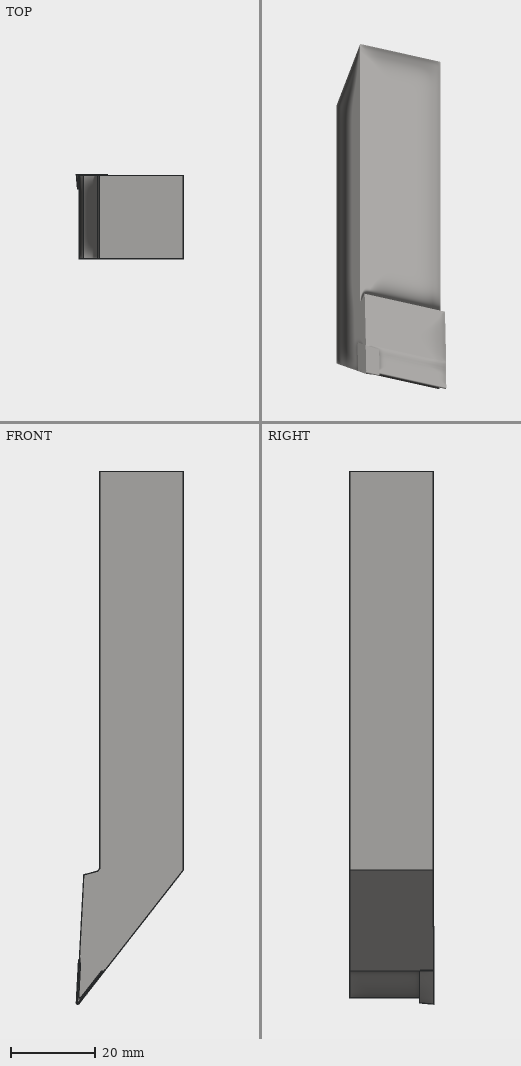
import cadquery as cq
import math


tool_width = 25.4
tool_height = 126.4
tool_depth = 20.0

flank_lean = 3.0
corner_angle = 35.0
back_lean = flank_lean + corner_angle
nose_radius = 0.4

insert_side = 11.2
insert_thickness = 3.4
relief_angle = 5.0
insert_rise = 0.1

holder_depth = tool_depth - insert_rise
shank_width = holder_depth
flank_setback = 0.19
shoulder_height = 30.7
shoulder_slope = 15.0
shoulder_root_bevel = 0.5
clearance_depth = 0.57
clearance_top = 11.1
clearance_run_out = 8.5
back_step_height = 7.8
tip_radius = 0.3


def direction(lean):
    """Unit XZ vector leaning from vertical toward +X by the given degrees."""
    return cq.Vector(math.sin(math.radians(lean)), math.cos(math.radians(lean)))


flank_dir = direction(flank_lean)
back_dir = direction(back_lean)
bisector = direction(flank_lean + corner_angle / 2)
half_corner_sine = math.sin(math.radians(corner_angle / 2))

nose_offset = bisector * (nose_radius / half_corner_sine)
corner = cq.Vector(nose_radius, nose_radius) - nose_offset
clearance_corner = corner + bisector * (clearance_depth / half_corner_sine)


def at_height(start, along, z):
    """Point at height z on the line from start in the direction along."""
    return start + along * ((z - start.y) / along.y)


def xz_point(point):
    return (point.x, point.y)


def make_insert():
    """Rhombic plate, widest at the cutting face on +Y and tapered toward -Y."""
    flank_end = corner + flank_dir * insert_side
    back_end = corner + back_dir * insert_side
    far_corner = flank_end + back_dir * insert_side
    outline = [xz_point(p) for p in (corner, back_end, far_corner, flank_end)]
    sketch = cq.Sketch().polygon(outline + outline[:1])
    for acute_tip in ("<Y", ">Y"):
        sketch = sketch.reset().vertices(acute_tip).fillet(nose_radius)
    return (
        cq.Workplane("XZ", origin=(0, tool_depth, 0))
        .placeSketch(sketch.reset())
        .extrude(insert_thickness, taper=relief_angle)
    )


def make_holder(insert):
    """Shank and wedge head, relieved below the insert and pocketed to hold it."""
    shank_left = tool_width - shank_width
    back_top = corner + back_dir * ((tool_width - corner.x) / back_dir.x)
    flank_start = corner + cq.Vector(flank_setback, 0)
    flank_top = at_height(flank_start, flank_dir, shoulder_height)
    shoulder_rise = (shank_left - flank_top.x) * math.tan(math.radians(shoulder_slope))
    shoulder_root = (shank_left, shoulder_height + shoulder_rise)
    back_step_outer = at_height(corner, back_dir, back_step_height)
    back_step_inner = at_height(clearance_corner, back_dir, back_step_height)
    run_out_end = at_height(clearance_corner, flank_dir, clearance_run_out)
    run_out_top = at_height(flank_start, flank_dir, clearance_top)

    holder = (
        cq.Workplane("XZ")
        .moveTo(*xz_point(clearance_corner))
        .lineTo(*xz_point(run_out_end))
        .tangentArcPoint(xz_point(run_out_top), relative=False)
        .lineTo(*xz_point(flank_top))
        .lineTo(*shoulder_root)
        .lineTo(shank_left, tool_height)
        .lineTo(tool_width, tool_height)
        .lineTo(*xz_point(back_top))
        .lineTo(*xz_point(back_step_outer))
        .lineTo(*xz_point(back_step_inner))
        .close()
        .extrude(-holder_depth)
    )
    mid_depth = holder_depth / 2
    root_point = (shoulder_root[0], mid_depth, shoulder_root[1])
    tip_point = (clearance_corner.x, mid_depth, clearance_corner.y)
    holder = holder.edges(cq.selectors.NearestToPointSelector(root_point)).chamfer(shoulder_root_bevel)
    holder = holder.edges(cq.selectors.NearestToPointSelector(tip_point)).fillet(tip_radius)
    return holder.cut(insert)


insert = make_insert()
holder = make_holder(insert)
result = cq.Compound.makeCompound([holder.val(), insert.val()])